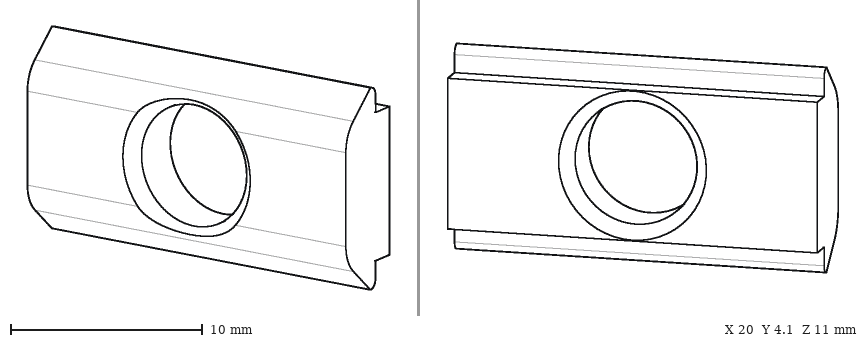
import cadquery as cq
import math

length = 20.0
thickness = 4.1
width = 11.0

base_width = 8.08
base_depth = 1.32
lip_radius = 0.48
flat_corner_width = 6.95
shoulder_radius = 2.05

hole_diameter = 6.6
sink_diameter = 8.0
sink_depth = (sink_diameter - hole_diameter) / 2

front_y = -thickness / 2
back_y = thickness / 2
lip_y = back_y - base_depth
tip_y = lip_y - lip_radius


def make_bar():
    """Extrude the symmetric section and round its two front shoulders."""
    half_width = width / 2
    half_base = base_width / 2
    half_flat = flat_corner_width / 2
    lip_start_z = half_width - lip_radius
    arc_mid_y = tip_y + lip_radius * math.cos(math.radians(45))
    arc_mid_z = lip_start_z + lip_radius * math.sin(math.radians(45))
    bar = (
        cq.Workplane("YZ")
        .moveTo(back_y, -half_base)
        .lineTo(back_y, half_base)
        .lineTo(lip_y, half_base)
        .lineTo(lip_y, lip_start_z)
        .threePointArc((arc_mid_y, arc_mid_z), (tip_y, half_width))
        .lineTo(front_y, half_flat)
        .lineTo(front_y, -half_flat)
        .lineTo(tip_y, -half_width)
        .threePointArc((arc_mid_y, -arc_mid_z), (lip_y, -lip_start_z))
        .lineTo(lip_y, -half_base)
        .close()
        .extrude(length / 2, both=True)
    )
    return bar.faces("<Y").edges("|X").fillet(shoulder_radius)


def make_countersink(face_y, inward):
    """Cone that is widest at a face and narrows to the hole along Y."""
    return cq.Workplane(
        cq.Solid.makeCone(
            sink_diameter / 2,
            hole_diameter / 2,
            sink_depth,
            pnt=cq.Vector(0, face_y, 0),
            dir=cq.Vector(0, inward, 0),
        )
    )


def cut_hole(bar):
    """Cut the through hole and a countersink at each end of it."""
    hole = cq.Workplane("XZ").circle(hole_diameter / 2).extrude(thickness, both=True)
    front_sink = make_countersink(front_y, 1)
    back_sink = make_countersink(back_y, -1)
    return bar.cut(hole).cut(front_sink).cut(back_sink)


result = cut_hole(make_bar())